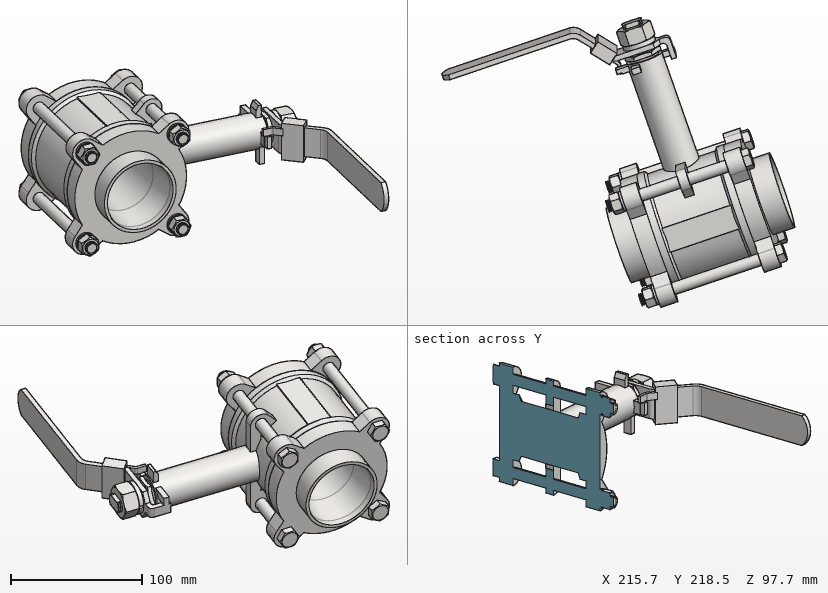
import cadquery as cq
import math


bore_diameter = 50.8
pipe_bore_diameter = 55.2
pipe_diameter = 60.3
valve_half_length = 65.65
pipe_bore_depth = 5.7
bore_taper_depth = 31.0

flange_diameter = 94.0
flange_inner_x = 35.0
flange_outer_x = 48.5
collar_diameter = 94.5
collar_inner_x = 29.2
body_diameter = 89.3
body_half_length = 27.2

flat_pad_width = 19.6
flat_pad_half_length = 27.8

bolt_circle_radius = 54.25
bolt_angles = (45, 135, 225, 315)
short_lug_angle = 135
short_lug_relief = 1.3
flange_lug_radius = 10.5
flange_lug_root_angle = 14.9
guide_lug_radius = 8.75
guide_lug_root_angle = 10.9
guide_lug_thickness = 7.6

bolt_diameter = 9.53
bolt_end_x = 61.7
bolt_thread_pitch = 1.5
bolt_hex_corners = 16.4
bolt_head_height = 6.0
bolt_washer_diameter = 15.8
bolt_washer_thickness = 1.9
bolt_nut_height = 8.0
hex_chamfer_depth = 0.8
thread_depth_per_pitch = 0.55

bonnet_diameter = 28.5
bonnet_top = 131.3
disc_spring_diameter = 23.0
gland_nut_bottom = 133.1
gland_nut_top = 136.6
gland_nut_corners = 28.6
spacer_diameter = 16.4
lever_plate_bottom = 137.9
lever_thickness = 4.0
lever_plate_top = lever_plate_bottom + lever_thickness
lock_washer_diameter = 25.8
lock_washer_thickness = 3.5
lock_washer_gap = 1.9
stem_nut_bottom = lever_plate_top + lock_washer_thickness
stem_nut_top = 157.6
stem_nut_corners = 27.5
stem_diameter = 15.8
stem_flat_height = 4.95
stem_thread_pitch = 1.7
stem_top = 161.1

lever_top = 169.6
lever_end_x = 150.05
lever_end_corner_x = 144.5
lever_width = 24.5
lever_bend_radii = ((3.5, 2.5), (2.0, 6.0), (9.8, 8.0))
lever_rise_start_x = 20.9
lever_rise_end_x = 43.5
stop_reach = 23.5
stop_tab_width = 8.6
stop_tab_bottom = 124.1
shoulder_start_x = -15.5
shoulder_end_x = -10.7

sleeve_x = 27.0
sleeve_length = 17.3
sleeve_thickness = 10.5
sleeve_width = 31.1
latch_x = 20.3
latch_thickness = 2.4
latch_top_z = 11.0
latch_bend_y = 132.3
latch_bend_radii = ((3.4, 1.0),)

arm_top = 130.1
arm_thickness = 4.5
arm_width = 10.2
arm_tip_chamfer_drop = 2.0
arm_tip_chamfer_run = 4.0
stop_arm_far_side = 11.0
latch_arm_end_x = 19.5
latch_pin_height = 3.6


def disc_x(diameter, x_start, x_end):
    """Cylinder along X, centred on the bore axis."""
    return cq.Workplane("YZ").workplane(offset=x_start).circle(diameter / 2).extrude(x_end - x_start)


def disc_y(diameter, y_start, y_end):
    """Cylinder along Y, centred on the stem axis."""
    return cq.Workplane("XZ").workplane(offset=-y_end).circle(diameter / 2).extrude(y_end - y_start)


def block(x_start, x_end, y_start, y_end, z_start, z_end):
    """Box given by its limits along each axis."""
    size = (x_end - x_start, y_end - y_start, z_end - z_start)
    return cq.Workplane("XY").box(*size, centered=False).translate((x_start, y_start, z_start))


def hexagon(corners, height, chamfer_bottom, chamfer_top):
    """Upright hexagon with a corner on +X, its ends turned down to a cone where asked."""
    radius = corners / 2
    turned_radius = radius - 2 * hex_chamfer_depth
    low_radius = turned_radius if chamfer_bottom else radius
    high_radius = turned_radius if chamfer_top else radius
    turning = (
        cq.Workplane("XZ")
        .polyline([
            (0, 0),
            (low_radius, 0),
            (radius, hex_chamfer_depth),
            (radius, height - hex_chamfer_depth),
            (high_radius, height),
            (0, height),
        ])
        .close()
        .revolve(360, (0, 0, 0), (0, 1, 0))
    )
    return cq.Workplane("XY").polygon(6, corners).extrude(height).intersect(turning)


def stem_hexagon(corners, y_start, y_end, chamfer_bottom):
    """Hexagon on the stem axis with a corner on X."""
    nut = hexagon(corners, y_end - y_start, chamfer_bottom, True)
    return nut.rotate((0, 0, 0), (1, 0, 0), -90).translate((0, y_start, 0))


def bolt_hexagon(x_start, x_end, chamfer_bottom, chamfer_top):
    """Hexagon along X with a corner on Z."""
    nut = hexagon(bolt_hex_corners, x_end - x_start, chamfer_bottom, chamfer_top)
    return nut.rotate((0, 0, 0), (0, 1, 0), 90).translate((x_start, 0, 0))


def lug(x_start, x_end, root_radius, root_angle, lug_radius, angle):
    """Sector rooted on a round of root_radius, with straight flanks tangent to a round bolt eye."""
    root_x = root_radius * math.cos(math.radians(root_angle))
    root_y = root_radius * math.sin(math.radians(root_angle))
    reach = bolt_circle_radius - root_x
    flank = math.asin(lug_radius / math.hypot(reach, root_y)) - math.atan2(root_y, reach)
    tangent_x = bolt_circle_radius - lug_radius * math.sin(flank)
    tangent_y = lug_radius * math.cos(flank)
    return (
        cq.Workplane("YZ")
        .workplane(offset=x_start)
        .lineTo(root_x, -root_y)
        .lineTo(tangent_x, -tangent_y)
        .threePointArc((bolt_circle_radius + lug_radius, 0), (tangent_x, tangent_y))
        .lineTo(root_x, root_y)
        .close()
        .extrude(x_end - x_start)
        .rotate((0, 0, 0), (1, 0, 0), angle)
    )


def ridged_rod(diameter, length, pitch):
    """Upright rod whose thread is shown as equal V-shaped ridges."""
    crest = diameter / 2
    root = crest - thread_depth_per_pitch * pitch
    profile = [(0, 0), (crest, 0)]
    ridges = max(1, round(length / pitch))
    step = length / ridges
    for ridge in range(ridges):
        profile.append((root, (ridge + 0.5) * step))
        profile.append((crest, (ridge + 1) * step))
    profile.append((0, length))
    return cq.Workplane("XZ").polyline(profile).close().revolve(360, (0, 0, 0), (0, 1, 0))


def bent_strip(path, thickness, z_start, z_end, bend_radii):
    """Flat bar following a path in XY; bend_radii holds the left and right face radius of each bend."""
    headings = [math.atan2(b[1] - a[1], b[0] - a[0]) for a, b in zip(path, path[1:])]
    entering = [headings[0]] + headings
    leaving = headings + [headings[-1]]
    left = []
    right = []
    for (x, y), heading_in, heading_out in zip(path, entering, leaving):
        mitre = (heading_in + heading_out) / 2
        offset = thickness / 2 / math.cos((heading_out - heading_in) / 2)
        left.append((x - offset * math.sin(mitre), y + offset * math.cos(mitre)))
        right.append((x + offset * math.sin(mitre), y - offset * math.cos(mitre)))
    outline = left + right[::-1]
    strip = cq.Workplane("XY").workplane(offset=z_start).polyline(outline).close().extrude(z_end - z_start)
    z_middle = (z_start + z_end) / 2
    for left_point, right_point, radii in zip(left[1:-1], right[1:-1], bend_radii):
        for (x, y), radius in zip((left_point, right_point), radii):
            corner = cq.NearestToPointSelector((x, y, z_middle))
            strip = strip.edges("|Z").edges(corner).fillet(radius)
    return strip


def make_body():
    """Pipe ends, flanges, collars and centre body as one turned solid, with flat pads on +Z and -Z."""
    half_profile = [
        (flange_outer_x, flange_diameter / 2),
        (flange_inner_x, flange_diameter / 2),
        (flange_inner_x, collar_diameter / 2),
        (collar_inner_x, collar_diameter / 2),
        (body_half_length, body_diameter / 2),
    ]
    pipe_profile = [
        (valve_half_length, 0),
        (valve_half_length, pipe_diameter / 2),
        (flange_outer_x, pipe_diameter / 2),
    ]
    right_side = pipe_profile + half_profile
    left_side = [(-x, radius) for x, radius in reversed(right_side)]
    body = cq.Workplane("XY").polyline(right_side + left_side).close().revolve(360, (0, 0, 0), (1, 0, 0))
    pad = cq.Workplane("XY").box(2 * flat_pad_half_length, flat_pad_width, body_diameter)
    return body.union(pad)


def make_bore():
    """Straight bore with a wider mouth at each end that tapers down to it."""
    taper_end_x = valve_half_length - bore_taper_depth
    mouth_x = valve_half_length - pipe_bore_depth
    right_side = [
        (valve_half_length, 0),
        (valve_half_length, pipe_bore_diameter / 2),
        (mouth_x, pipe_bore_diameter / 2),
        (taper_end_x, bore_diameter / 2),
    ]
    left_side = [(-x, radius) for x, radius in reversed(right_side)]
    return cq.Workplane("XY").polyline(right_side + left_side).close().revolve(360, (0, 0, 0), (1, 0, 0))


def make_flange_lugs():
    """Four bolt lugs on each flange; one lug on the +X flange has its inner face set back."""
    lugs = cq.Workplane("XY")
    shape = (flange_diameter / 2, flange_lug_root_angle, flange_lug_radius)
    for angle in bolt_angles:
        relief = short_lug_relief if angle == short_lug_angle else 0
        lugs = lugs.union(lug(-flange_outer_x, -flange_inner_x, *shape, angle))
        lugs = lugs.union(lug(flange_inner_x + relief, flange_outer_x, *shape, angle))
    return lugs


def make_guide_lugs():
    """Middle lugs around the two bolts on the stem side, joined by a flat web."""
    half_thickness = guide_lug_thickness / 2
    bolt_offset = bolt_circle_radius * math.cos(math.radians(45))
    web_top = bolt_offset + guide_lug_radius
    guides = block(-half_thickness, half_thickness, bolt_offset, web_top, -bolt_offset, bolt_offset)
    shape = (body_diameter / 2, guide_lug_root_angle, guide_lug_radius)
    for angle in (45, -45):
        guides = guides.union(lug(-half_thickness, half_thickness, *shape, angle))
    return guides


def make_bolts():
    """Four through bolts with a head, washer, nut and threaded end, patterned about the bore axis."""
    head_x = -flange_outer_x - bolt_head_height
    nut_x = flange_outer_x + bolt_washer_thickness
    nut_end_x = nut_x + bolt_nut_height
    thread = ridged_rod(bolt_diameter, bolt_end_x - nut_end_x, bolt_thread_pitch)
    thread = thread.rotate((0, 0, 0), (0, 1, 0), 90).translate((nut_end_x, 0, 0))
    bolt = (
        disc_x(bolt_diameter, -flange_outer_x, nut_end_x)
        .union(bolt_hexagon(head_x, -flange_outer_x, True, False))
        .union(disc_x(bolt_washer_diameter, flange_outer_x, nut_x))
        .union(bolt_hexagon(nut_x, nut_end_x, True, True))
        .union(thread)
    )
    bolt_offset = bolt_circle_radius * math.cos(math.radians(45))
    bolt = bolt.translate((0, bolt_offset, bolt_offset))
    bolts = cq.Workplane("XY")
    for quarter in range(len(bolt_angles)):
        bolts = bolts.union(bolt.rotate((0, 0, 0), (1, 0, 0), 90 * quarter))
    return bolts


def make_stem_stack():
    """Bonnet tube, disc springs, gland nut, stem nut and the flatted, threaded stem end."""
    stem_end = ridged_rod(stem_diameter, stem_top - stem_nut_top, stem_thread_pitch)
    stem_end = stem_end.rotate((0, 0, 0), (1, 0, 0), -90).translate((0, stem_nut_top, 0))
    stem_end = stem_end.intersect(
        cq.Workplane("XY").box(2 * stem_diameter, 2 * stem_top, 2 * stem_flat_height)
    )
    lock_washer = disc_y(lock_washer_diameter, lever_plate_top, stem_nut_bottom)
    lock_washer = lock_washer.cut(
        block(
            -lock_washer_diameter, -stem_diameter / 2,
            lever_plate_top, stem_nut_bottom,
            -lock_washer_gap / 2, lock_washer_gap / 2,
        )
    )
    return (
        disc_y(bonnet_diameter, bore_diameter / 2, bonnet_top)
        .union(disc_y(disc_spring_diameter, bonnet_top, gland_nut_bottom))
        .union(stem_hexagon(gland_nut_corners, gland_nut_bottom, gland_nut_top, False))
        .union(disc_y(spacer_diameter, gland_nut_top, lever_plate_bottom))
        .union(lock_washer)
        .union(stem_hexagon(stem_nut_corners, stem_nut_bottom, stem_nut_top, True))
        .union(stem_end)
    )


lever_plate_y = (lever_plate_bottom + lever_plate_top) / 2
grip_y = lever_top - lever_thickness / 2
rise_angle = math.atan2(grip_y - lever_plate_y, lever_rise_end_x - lever_rise_start_x)


def make_lever():
    """Bent flat bar: stop tab, plate under the stem nut, rising run and grip with a rounded end."""
    stop_tab_x = -stop_reach + lever_thickness / 2
    path = [
        (stop_tab_x, stop_tab_bottom),
        (stop_tab_x, lever_plate_y),
        (lever_rise_start_x, lever_plate_y),
        (lever_rise_end_x, grip_y),
        (lever_end_x, grip_y),
    ]
    half_tab = stop_tab_width / 2
    half_width = lever_width / 2
    bar = bent_strip(path, lever_thickness, -half_width, half_width, lever_bend_radii)
    plan = (
        cq.Workplane("XZ")
        .moveTo(-stop_reach, -half_tab)
        .lineTo(shoulder_start_x, -half_tab)
        .lineTo(shoulder_end_x, -half_width)
        .lineTo(lever_end_corner_x, -half_width)
        .threePointArc((lever_end_x, 0), (lever_end_corner_x, half_width))
        .lineTo(shoulder_end_x, half_width)
        .lineTo(shoulder_start_x, half_tab)
        .lineTo(-stop_reach, half_tab)
        .close()
        .extrude(-lever_top)
    )
    return bar.intersect(plan)


def make_sleeve_and_latch():
    """Locking sleeve around the rising run, with a thin latch reaching down beside the latch arm."""
    sleeve_y = lever_plate_y + (sleeve_x - lever_rise_start_x) * math.tan(rise_angle)
    sleeve = (
        cq.Workplane("XY")
        .box(sleeve_length, sleeve_thickness, sleeve_width)
        .rotate((0, 0, 0), (0, 0, 1), math.degrees(rise_angle))
        .translate((sleeve_x, sleeve_y, 0))
    )
    latch_run = sleeve_length / 2
    latch_path = [
        (latch_x, stop_tab_bottom),
        (latch_x, latch_bend_y),
        (latch_x + latch_run * math.cos(rise_angle), latch_bend_y + latch_run * math.sin(rise_angle)),
    ]
    latch = bent_strip(latch_path, latch_thickness, arm_width / 2, latch_top_z, latch_bend_radii)
    return sleeve.union(latch)


def make_stop_arms():
    """Arms around the bonnet top.

    The arms on -X and -Z stop the lever tab a quarter turn apart, and the arm on +X lies beside the latch.
    """
    arm_bottom = arm_top - arm_thickness
    half_width = arm_width / 2
    chamfered_arm = (
        cq.Workplane("YZ")
        .polyline([
            (arm_bottom, 0),
            (arm_top, 0),
            (arm_top, stop_reach),
            (arm_bottom + arm_tip_chamfer_drop, stop_reach),
            (arm_bottom, stop_reach - arm_tip_chamfer_run),
        ])
        .close()
        .extrude(half_width, both=True)
    )
    stop_face = stop_tab_width / 2
    side_arm = block(-stop_reach, 0, arm_bottom, arm_top, stop_face, stop_arm_far_side)
    lower_arm = block(stop_face, stop_arm_far_side, arm_bottom, arm_top, -stop_reach, 0)
    latch_arm = block(0, latch_arm_end_x, arm_bottom, arm_top, -half_width, half_width)
    latch_pin = block(0, stop_reach, arm_top - latch_pin_height, arm_top, -half_width, half_width)
    return chamfered_arm.union(lower_arm).union(side_arm).union(latch_arm).union(latch_pin)


result = (
    make_body()
    .union(make_flange_lugs())
    .union(make_guide_lugs())
    .union(make_bolts())
    .union(make_stem_stack())
    .union(make_stop_arms())
    .union(make_lever())
    .union(make_sleeve_and_latch())
    .cut(make_bore())
)